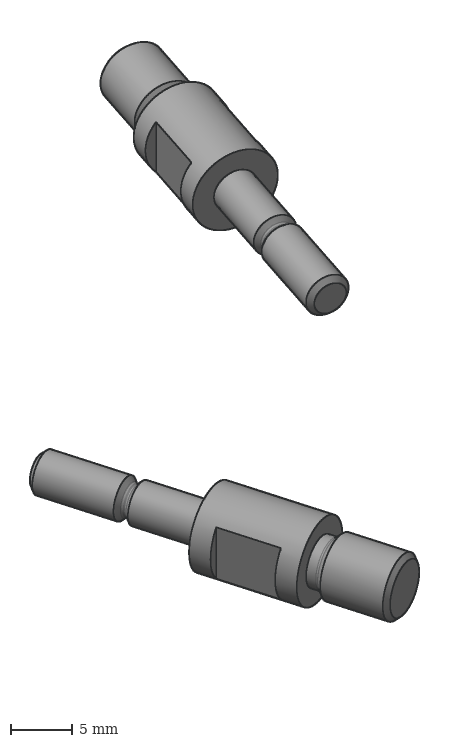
import cadquery as cq

total_length = 34.0

head_radius = 3.0
head_chamfer = 0.45

neck_radius = 2.35
neck_slope_start = 6.25

collar_radius = 4.0
collar_start = 7.9
collar_length = 10.0
collar_end = collar_start + collar_length

flat_length = 6.0
flat_separation = 6.0

shank_radius = 2.0
shank_chamfer = 0.5

groove_center = 25.3
groove_floor_radius = 1.5
groove_floor_width = 0.34

root_fillet = 0.3


def cylinder_along_x(start, end, radius):
    """Solid cylinder on the X axis between two X positions."""
    return cq.Workplane("YZ", origin=(start, 0, 0)).circle(radius).extrude(end - start)


def make_head():
    """Chamfered head whose back slopes at 45 degrees into the neck."""
    slope_end = neck_slope_start + head_radius - neck_radius
    profile = (
        cq.Workplane("XY")
        .moveTo(0, 0)
        .lineTo(0, head_radius - head_chamfer)
        .lineTo(head_chamfer, head_radius)
        .lineTo(neck_slope_start, head_radius)
        .lineTo(slope_end, neck_radius)
        .lineTo(collar_start, neck_radius)
        .lineTo(collar_start, 0)
        .close()
    )
    head = profile.revolve(360, (0, 0, 0), (1, 0, 0))
    root = cq.selectors.NearestToPointSelector((slope_end, 0, 0))
    return head.edges(root).fillet(root_fillet)


def make_collar():
    """Cylindrical collar with two parallel wrench flats facing -Y and +Y."""
    collar = cylinder_along_x(collar_start, collar_end, collar_radius)
    flat_center = (collar_start + collar_end) / 2
    cut_depth = collar_radius - flat_separation / 2
    for side in (-1, 1):
        cutter = cq.Workplane("XY").box(flat_length, cut_depth, 2 * collar_radius)
        cut_center = side * (flat_separation + cut_depth) / 2
        collar = collar.cut(cutter.translate((flat_center, cut_center, 0)))
    return collar


def make_shank():
    """Thin shank with a chamfered tip and a 45 degree groove around it."""
    half_floor = groove_floor_width / 2
    half_mouth = half_floor + shank_radius - groove_floor_radius
    profile = (
        cq.Workplane("XY")
        .moveTo(collar_end, 0)
        .lineTo(collar_end, shank_radius)
        .lineTo(groove_center - half_mouth, shank_radius)
        .lineTo(groove_center - half_floor, groove_floor_radius)
        .lineTo(groove_center + half_floor, groove_floor_radius)
        .lineTo(groove_center + half_mouth, shank_radius)
        .lineTo(total_length - shank_chamfer, shank_radius)
        .lineTo(total_length, shank_radius - shank_chamfer)
        .lineTo(total_length, 0)
        .close()
    )
    shank = profile.revolve(360, (0, 0, 0), (1, 0, 0))
    floor_box = cq.selectors.BoxSelector(
        (groove_center - groove_floor_width, -shank_radius, -shank_radius),
        (groove_center + groove_floor_width, shank_radius, shank_radius),
    )
    return shank.edges(floor_box).edges("%CIRCLE").fillet(root_fillet)


result = make_head().union(make_collar()).union(make_shank())